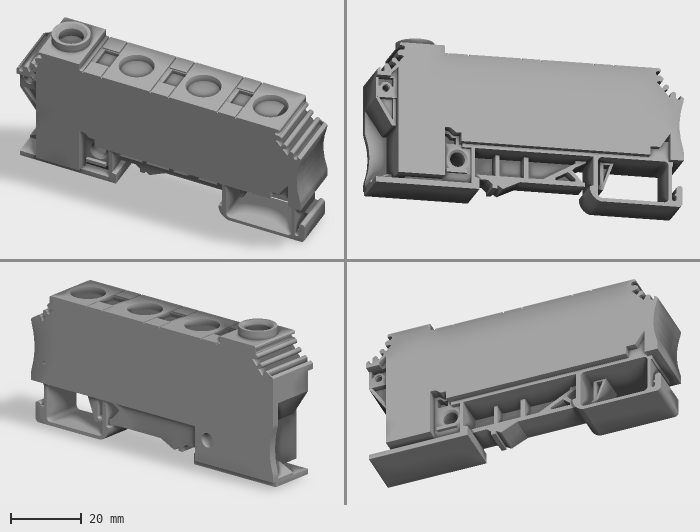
import cadquery as cq
import math

length = 89
body_length = 88.8
width = 17.5
skin = 2.1
rear_inset = 2.1
foot_rear_inset = 1.2
mid_y = width / 2

top_z = 39.9
step_rise = 2.2
shoulder_end_x = 19.6
total_height = 44.6

foot_bottom_z = 1.1
foot_top_z = 2.7
skin_bottom_z = 3.7
underside_z = 13.1
skin_edge_z = 14.15

recess_x = 6.05
recess_roof_z = 32

port_pitch = 20.9
collar_x = 12.9


def plate(points, y_start, y_end):
    """Extrude a closed XZ outline between two Y positions."""
    outline = cq.Workplane("XZ", origin=(0, y_start, 0)).polyline(points).close()
    return outline.extrude(y_start - y_end)


def box(x_start, x_end, y_start, y_end, z_start, z_end):
    size = (x_end - x_start, y_end - y_start, z_end - z_start)
    return cq.Workplane("XY").box(*size, centered=False).translate((x_start, y_start, z_start))


def pin(x, z, diameter, y_start, y_end):
    """Cylinder along Y."""
    face = cq.Workplane("XZ", origin=(x, y_start, z)).circle(diameter / 2)
    return face.extrude(y_start - y_end)


bump_diameter = 1.5
shoulder_span = 88.6
groove_diameter = 1.25
groove_end_wall = 0.4
shoulder_chamfer = 0.4
rib_lean = math.radians(45)

left_shoulder = [(0, 33.8), (0.4, 34.2), (2.3, 35.15), (3.5, 34.8), (4.0, 33.8), (7.65, 38.0),
                 (6.5, 38.45), (6.5, top_z + step_rise - shoulder_chamfer),
                 (6.5 + shoulder_chamfer, top_z + step_rise)]
bump_centres = [(2.8, 34.7), (4.9, 36.7), (6.5, 39.0)]
rib_root = (5.9, 35.9)
rib_neck = 1.1
slant_groove = (1.4, 33.8)
flat_groove = (7.3, 40.6)


def to_right(point):
    """Carry a point of the left shoulder over to the lower right shoulder."""
    return (shoulder_span - point[0], point[1] - step_rise)


def shoulder_bumps(place):
    """Two rounded edges and the free-standing rib between them."""
    bumps = None
    for centre in bump_centres:
        bump = pin(*place(centre), bump_diameter, 0, width)
        bumps = bump if bumps is None else bumps.union(bump)
    tip = bump_centres[1]
    across = (rib_neck / 2 * math.cos(rib_lean), rib_neck / 2 * math.sin(rib_lean))
    neck = [(tip[0] - across[0], tip[1] - across[1]), (tip[0] + across[0], tip[1] + across[1]),
            (rib_root[0] + across[0], rib_root[1] + across[1]),
            (rib_root[0] - across[0], rib_root[1] - across[1])]
    return bumps.union(plate([place(point) for point in neck], 0, width))


def shoulder_grooves(place):
    """Round-bottomed grooves, one opening upward and one opening sideways."""
    groove_end = width - groove_end_wall
    radius = groove_diameter / 2
    reach = 1.8
    slant_x, slant_z = slant_groove
    flat_x, flat_z = flat_groove
    upward = [(slant_x - radius, slant_z), (slant_x + radius, slant_z),
              (slant_x + radius, slant_z + reach), (slant_x - radius, slant_z + reach)]
    sideways = [(flat_x, flat_z - radius), (flat_x, flat_z + radius),
                (flat_x - reach, flat_z + radius), (flat_x - reach, flat_z - radius)]
    grooves = pin(*place(slant_groove), groove_diameter, 0, groove_end)
    grooves = grooves.union(pin(*place(flat_groove), groove_diameter, 0, groove_end))
    for outline in (upward, sideways):
        grooves = grooves.union(plate([place(point) for point in outline], 0, groove_end))
    return grooves


foot_wall_x = 27.8
foot_end_x = 30.1
foot_wall_outer_x = 28.75
grip_depth = 1.25
grip_end_radius = 5.2
cavity_x = 19.6
cavity_arch = [(24.4, skin_edge_z), (24.4, 16.6), (22.7, 16.6), (21.2, 18.0), (cavity_x, 18.0)]
pillar_x = 84.9
vent_top = (pillar_x, 20.8)


def upper_outline():
    shoulder = [(shoulder_end_x, top_z + step_rise), (shoulder_end_x, top_z)]
    right_shoulder = [to_right(point) for point in reversed(left_shoulder[1:])]
    return left_shoulder + shoulder + right_shoulder + [(body_length, 31.5)]


def main_body():
    core = plate(
        upper_outline()
        + [(body_length, underside_z), (foot_wall_outer_x, underside_z),
           (foot_wall_outer_x, foot_top_z), (0, foot_top_z)],
        skin, width)
    cover = plate(
        upper_outline()
        + [(body_length, underside_z), (pillar_x, underside_z), vent_top, (82.0, 16.6),
           (79.2, 16.6), (79.2, skin_edge_z)]
        + cavity_arch
        + [(cavity_x, skin_bottom_z), (0, skin_bottom_z)],
        0, skin)
    body = core.union(cover)
    vent_floor_z = 19.0
    vent = [(pillar_x, vent_floor_z), vent_top, (83.6, vent_floor_z)]
    return body.cut(plate(vent, 0, width))


def finger_grip(edge_x, inward, z_low, z_high):
    """Shallow concave cut in an end face, its ends rounded over; inward is +1 or -1 along X."""
    half_height = (z_high - z_low) / 2
    middle_z = (z_low + z_high) / 2
    reach = (half_height ** 2 + grip_depth ** 2) / (2 * grip_depth)
    grip_radius = reach - grip_end_radius
    half_angle = math.asin(half_height / reach)
    grip_centre_x = edge_x - inward * (grip_radius - grip_depth)

    def on_grip(angle):
        return (grip_centre_x + inward * grip_radius * math.cos(angle),
                middle_z + grip_radius * math.sin(angle))

    def on_end(side):
        quarter = half_angle / 2
        return (edge_x + inward * grip_end_radius * (1 - math.cos(quarter)),
                middle_z + side * (half_height - grip_end_radius * math.sin(quarter)))

    profile = (
        cq.Workplane("XZ")
        .moveTo(edge_x, z_low)
        .threePointArc(on_end(-1), on_grip(-half_angle))
        .threePointArc(on_grip(0), on_grip(half_angle))
        .threePointArc(on_end(1), (edge_x, z_high))
        .close()
    )
    return profile.extrude(-width)


recess_shelf_x = 4.8
recess_rear_y = width - rear_inset
recess_rear_inner_y = 14.5
block_bottom_z = 26.2
wedge_bottom_z = 18.25
wedge_inner_y = 2.85


def end_recess(body):
    footprint = [(0, 0), (recess_x, 0), (recess_x, recess_rear_inner_y),
                 (recess_shelf_x, recess_rear_inner_y), (0, recess_rear_y)]
    height = recess_roof_z - foot_top_z
    recess = cq.Workplane("XY", origin=(0, 0, foot_top_z)).polyline(footprint).close().extrude(height)
    roof_slope = [(4.0, recess_roof_z), (4.0, 32.75), (recess_x, 34.7), (recess_x, recess_roof_z)]
    body = body.cut(recess).cut(plate(roof_slope, 0, skin))

    block = box(0, recess_x, skin, recess_rear_y, block_bottom_z, recess_roof_z)
    wedge_side = [(0, block_bottom_z), (0, 26.0), (recess_shelf_x, wedge_bottom_z),
                  (recess_x, wedge_bottom_z), (recess_x, block_bottom_z)]
    wedge_plan = [(0, skin), (recess_shelf_x, wedge_inner_y), (recess_x, wedge_inner_y),
                  (recess_x, recess_rear_y), (0, recess_rear_y)]
    wedge_prism = cq.Workplane("XY").polyline(wedge_plan).close().extrude(total_height)
    wedge = plate(wedge_side, 0, width).intersect(wedge_prism)
    ramp_side = [(0, foot_top_z), (0, 3.4), (recess_shelf_x, 5.6), (recess_x, 5.6), (recess_x, foot_top_z)]
    ramp = plate(ramp_side, mid_y, recess_rear_y)
    return body.union(block).union(wedge).union(ramp)


def pin_block_pockets():
    """Hole with a saddle-shaped pocket above it, and a triangular pocket in the wedge."""
    hole_x, hole_z = 2.9, 28.9
    hole_diameter = 2.0
    hole_rim_diameter = 2.3
    rim_depth = 0.45
    saddle_diameter = 3.6
    hole_depth = 4.45
    pocket_depth = 1.8
    saddle = box(0.8, 5.2, skin, skin + pocket_depth, 29.55, recess_roof_z)
    saddle = saddle.cut(pin(hole_x, hole_z, saddle_diameter, skin, skin + pocket_depth))
    hole = pin(hole_x, hole_z, hole_diameter, skin, skin + hole_depth)
    hole = hole.union(pin(hole_x, hole_z, hole_rim_diameter, skin, skin + rim_depth))
    triangle = plate([(1.0, block_bottom_z), (5.2, block_bottom_z), (5.2, 19.8)], skin, skin + pocket_depth)
    return saddle.union(hole).union(triangle)


def foot():
    slab = box(0, foot_end_x, skin, width - foot_rear_inset, foot_bottom_z, foot_top_z)
    toe = plate([(foot_wall_x, foot_top_z), (foot_end_x, foot_top_z), (foot_end_x, 4.3),
                 (foot_wall_outer_x, 4.5), (foot_wall_x, 4.5)], skin, width - foot_rear_inset)
    return slab.union(toe)


def foot_cavity(body):
    floor_y = 3.4
    lip_inner_y = 5.0
    lip_z = 5.6
    cavity_outline = [(cavity_x, foot_top_z), (foot_wall_x, foot_top_z), (foot_wall_x, underside_z),
                      (25.1, underside_z), (25.1, skin_edge_z)] + cavity_arch
    body = body.cut(plate(cavity_outline, skin, floor_y))

    undercut_side = [(floor_y, foot_top_z), (lip_inner_y, foot_top_z), (floor_y, lip_z)]
    undercut = cq.Workplane("YZ", origin=(cavity_x, 0, 0)).polyline(undercut_side).close()
    body = body.cut(undercut.extrude(foot_wall_x - cavity_x))

    gap_rear_y = 3.7
    gap_mouth_length = 2.85
    gap_mouth_x = recess_x + gap_mouth_length
    body = body.cut(box(recess_x, cavity_x, skin, gap_rear_y, foot_top_z, skin_bottom_z))
    body = body.cut(box(recess_x, gap_mouth_x, skin, mid_y, foot_top_z, skin_bottom_z))

    ledge_height = 1.1
    ledge_projection = 1.1
    ledge_start_x, ledge_end_x = 20.6, 26.6
    body = body.union(box(ledge_start_x, ledge_end_x, floor_y - ledge_projection, floor_y,
                          lip_z, lip_z + ledge_height))

    pocket_depth = 2.7
    pocket = [(20.4, skin_edge_z), (23.6, skin_edge_z), (23.6, 16), (22.4, 16), (21.4, 17.1), (20.4, 17.1)]
    body = body.cut(plate(pocket, floor_y, floor_y + pocket_depth))

    hole_x, hole_z = 24.1, 9.9
    hole_diameter = 4.3
    rim_diameter = 5.5
    chamfer = (rim_diameter - hole_diameter) / 2
    body = body.cut(pin(hole_x, hole_z, hole_diameter, floor_y, width))
    rim = cq.Solid.makeCone(rim_diameter / 2, hole_diameter / 2, chamfer,
                            cq.Vector(hole_x, floor_y, hole_z), cq.Vector(0, 1, 0))
    return body.cut(cq.Workplane(rim))


rail_rear_y = width - rear_inset
latch_bottom_z = 5.6
web_z = 6.9
latch_front_y = 7.3
latch_web_y = (latch_front_y + rail_rear_y) / 2


def rail_latch():
    latch = plate(
        [(foot_wall_outer_x, underside_z), (foot_wall_outer_x, latch_bottom_z), (33.7, latch_bottom_z),
         (35.1, 4.45), (35.1, 3.3), (36.5, 3.3), (36.5, 4.3), (38.1, 3.2), (43.1, latch_bottom_z),
         (61.85, latch_bottom_z), (61.85, web_z - 0.2), (61.1, web_z), (58.2, 10.2), (59.0, 11.0),
         (62.2, 12.6), (62.2, underside_z)],
        latch_front_y, rail_rear_y)
    windows = [
        [(foot_wall_outer_x, web_z), (36.0, web_z), (36.0, underside_z), (foot_wall_outer_x, underside_z)],
        [(37.0, web_z), (44.1, web_z), (44.1, underside_z), (37.0, underside_z)],
        [(45.5, web_z), (49.7, web_z), (59.2, 12.3), (59.2, underside_z), (45.5, underside_z)],
        [(53.3, web_z), (59.2, web_z), (59.2, 7.65), (57, 9.6), (53.3, 7.65)],
    ]
    for window in windows:
        latch = latch.cut(plate(window, latch_front_y, latch_web_y))
    return latch


loop_left_x = 63.2
loop_inner_left_x = 64.4
loop_right_x = 85.9
loop_top_right_x = 86.2
loop_floor_z = 1.1
loop_flare_z = 11.75
lip_top_z = 5.5
lip_inner_x = 87.2
loop_corner = 1.25


def rail_loop():
    frame = (
        cq.Workplane("XZ", origin=(0, skin, 0))
        .moveTo(loop_left_x, underside_z)
        .lineTo(loop_left_x, 4.5)
        .lineTo(62.0, 4.3)
        .threePointArc((63.2, 1.25), (65.15, 0))
        .lineTo(length - loop_corner, 0)
        .radiusArc((length, loop_corner), -loop_corner)
        .lineTo(length, lip_top_z)
        .threePointArc(((length + lip_inner_x) / 2, 6.2), (lip_inner_x, lip_top_z))
        .lineTo(loop_right_x, lip_top_z)
        .lineTo(loop_right_x, loop_flare_z)
        .lineTo(loop_top_right_x, loop_flare_z)
        .lineTo(loop_top_right_x, underside_z)
        .close()
        .extrude(skin - rail_rear_y)
    )
    opening = box(loop_inner_left_x, pillar_x, skin, rail_rear_y, loop_floor_z, underside_z)
    opening = opening.edges("|Y").fillet(loop_corner)

    slot_width = lip_inner_x - loop_right_x
    slot_x = loop_right_x + slot_width / 2
    slot_bottom_z = 2.3
    slot_web_z = 5.2
    slot = pin(slot_x, slot_bottom_z, slot_width, skin, mid_y)
    slot = slot.union(box(loop_right_x, lip_inner_x, skin, mid_y, slot_bottom_z, lip_top_z))
    slot = slot.union(box(loop_right_x, lip_inner_x, skin, rail_rear_y, slot_web_z, lip_top_z))
    bead_z = 3.6
    bead_diameter = 0.9
    bead = pin(lip_inner_x, bead_z, bead_diameter, skin, rail_rear_y)
    return frame.cut(opening).cut(slot).union(bead)


def spring_finger():
    finger = plate([(66.3, underside_z), (66.3, 6.6), (65.8, 6.05), (65.8, 5.3), (66.2, 5.1), (67.2, 5.1),
                    (67.6, 6.4), (70.2, underside_z)], latch_front_y, rail_rear_y)
    window = plate([(67.2, 12.55), (69.15, 12.55), (67.2, 6.9)], latch_front_y, latch_web_y)
    return finger.cut(window)


collar_diameter = 11.0
collar_rim_diameter = 9.3
collar_bore = 7.1
collar_floor_z = 40.9
port_diameter = 10.15
port_floor_diameter = 9.3
port_depth = 1.8
port_start_x = 33.4
last_port_depth = 5.3
last_port_floor_diameter = 7.1


def cone(x, z_top, diameter_top, diameter_bottom, depth):
    taper = cq.Solid.makeCone(diameter_top / 2, diameter_bottom / 2, depth,
                              cq.Vector(x, mid_y, z_top), cq.Vector(0, 0, -1))
    return cq.Workplane(taper)


def add_collar(body):
    base = cq.Workplane("XY", origin=(collar_x, mid_y, collar_floor_z))
    collar_height = total_height - collar_floor_z
    rim_depth = (collar_rim_diameter - collar_bore) / 2
    body = body.union(base.circle(collar_diameter / 2).extrude(collar_height))
    body = body.cut(base.circle(collar_bore / 2).extrude(collar_height))
    return body.cut(cone(collar_x, total_height, collar_rim_diameter, collar_bore, rim_depth))


def cut_ports(body):
    for index in range(3):
        port_x = port_start_x + index * port_pitch
        body = body.cut(cone(port_x, top_z, port_diameter, port_floor_diameter, port_depth))
    well_start_x = 77.8
    well = cone(port_x, top_z, port_diameter, last_port_floor_diameter, last_port_depth)
    return body.cut(well.intersect(box(well_start_x, length, 0, width, 0, top_z)))


def cut_marker_pads(body):
    first_pad_x = 20.6
    pad_pitch = 21.0
    pad_length = 5.7
    groove_width = 0.45
    groove_depth = 0.45
    slot_front_y, slot_rear_y = 5.4, 12.0
    pad_front_y, pad_rear_y = 5.2, 12.3
    slot_depth = 1.6
    ledge_length = 1.0
    for index in range(3):
        start_x = first_pad_x + index * pad_pitch
        end_x = start_x + pad_length
        for groove_x in (start_x, end_x):
            body = body.cut(box(groove_x, groove_x + groove_width, 0, width, top_z - groove_depth, top_z))
        body = body.cut(box(start_x, end_x, pad_front_y, pad_rear_y, top_z - groove_depth, top_z))
        body = body.cut(box(start_x + groove_width + ledge_length, end_x + groove_width,
                            slot_front_y, slot_rear_y, top_z - slot_depth, top_z))
    return body


def on_left(point):
    return point


result = main_body()
for place in (on_left, to_right):
    result = result.union(shoulder_bumps(place)).cut(shoulder_grooves(place))
result = result.cut(finger_grip(0, 1, 4.1, 19.85))
result = result.cut(finger_grip(body_length, -1, 15.1, 31.5))
result = end_recess(result).cut(pin_block_pockets())
result = result.union(foot())
result = foot_cavity(result)
result = result.union(rail_latch()).union(rail_loop()).union(spring_finger())
result = add_collar(result)
result = cut_ports(result)
result = cut_marker_pads(result)